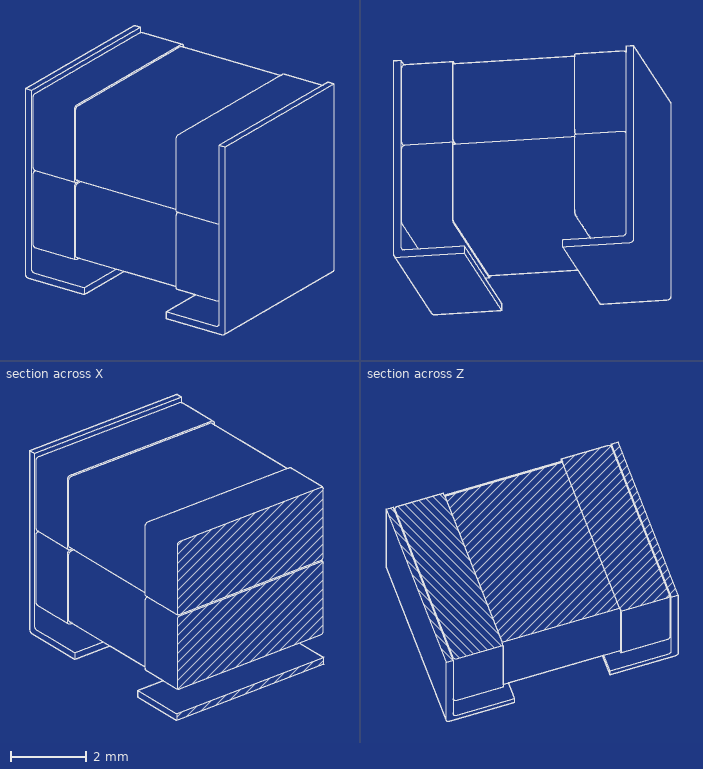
import cadquery as cq


overall_length = 6.5
frame_width = 5.0
frame_height = 5.5
sheet_thickness = 0.2
foot_length = 1.92
bend_radius = 0.1

chip_count = 2
chip_bottom = 0.905
cap_length = 1.4
cap_width = frame_width
cap_height = 2.25
cap_inset = 0.045
edge_radius = 0.105

frame_inner_x = overall_length / 2 - sheet_thickness
cap_inner_x = frame_inner_x - cap_length
ceramic_length = 2 * cap_inner_x
ceramic_width = cap_width - 2 * cap_inset
ceramic_height = cap_height - 2 * cap_inset


def mirror_to_side(shape, side):
    """Leave a +X shape in place for side 1 and mirror it to -X for side -1."""
    return shape if side > 0 else shape.mirror("YZ")


def make_lead_frame(side):
    """Bent strip: an upright plate with a foot turned inward at the bottom."""
    outer_x = overall_length / 2
    foot_end_x = outer_x - foot_length
    strip = (
        cq.Workplane("XZ")
        .moveTo(outer_x, 0)
        .lineTo(outer_x, frame_height)
        .lineTo(frame_inner_x, frame_height)
        .lineTo(frame_inner_x, sheet_thickness)
        .lineTo(foot_end_x, sheet_thickness)
        .lineTo(foot_end_x, 0)
        .close()
        .extrude(frame_width / 2, both=True)
    )
    outer_corner = cq.selectors.NearestToPointSelector((outer_x, 0, 0))
    inner_corner = cq.selectors.NearestToPointSelector((frame_inner_x, 0, sheet_thickness))
    strip = strip.edges("|Y").edges(outer_corner).fillet(bend_radius)
    strip = strip.edges("|Y").edges(inner_corner).fillet(bend_radius)
    return mirror_to_side(strip, side)


def make_end_cap(side, center_z):
    """Metal end block, rounded everywhere except around its face against the ceramic."""
    cap = (
        cq.Workplane("XY")
        .box(cap_length, cap_width, cap_height)
        .edges("|X or >X")
        .fillet(edge_radius)
        .translate((cap_inner_x + cap_length / 2, 0, center_z))
    )
    return mirror_to_side(cap, side)


def make_ceramic(center_z):
    """Ceramic block between two end caps, with its lengthwise edges rounded."""
    return (
        cq.Workplane("XY")
        .box(ceramic_length, ceramic_width, ceramic_height)
        .edges("|X")
        .fillet(edge_radius)
        .translate((0, 0, center_z))
    )


sides = (-1, 1)
chip_centers = [chip_bottom + (level + 0.5) * cap_height for level in range(chip_count)]

lead_frames = [make_lead_frame(side) for side in sides]
ceramics = [make_ceramic(center_z) for center_z in chip_centers]
end_caps = [make_end_cap(side, center_z) for center_z in chip_centers for side in sides]

result = cq.Compound.makeCompound([body.val() for body in lead_frames + ceramics + end_caps])